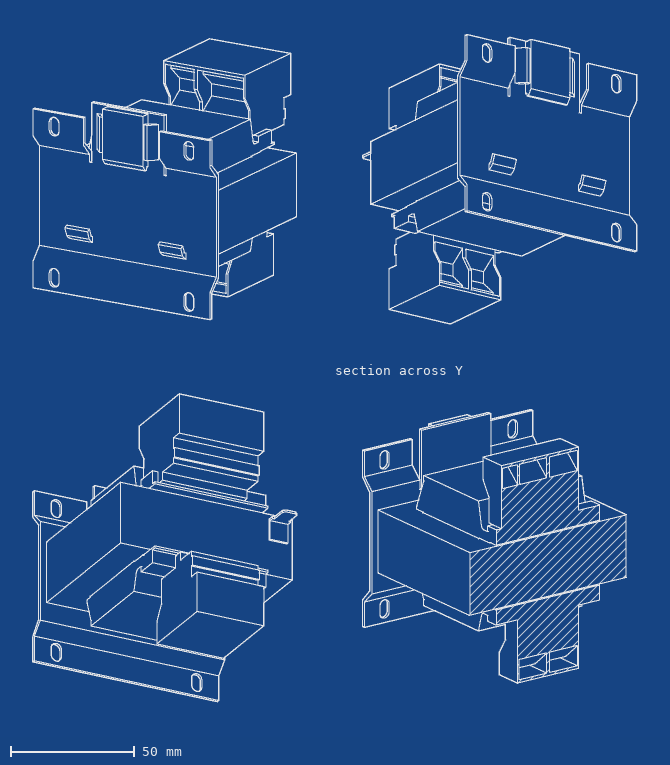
import cadquery as cq


core_half_width = 39.1
core_depth = 65.05
core_half_height = 13.5
window_front = 12.9
window_rear = 51.6
window_gap = 0.4

coil_half_width = 25.8
coil_top = 29.3
coil_bottom = 26.5
coil_front = 13.2
coil_rear = 51.1
coil_rim = 2.5
nose_height = 14.7
nose_front_top = 8.4
nose_front_bottom = 9.8
shelf_height = 20.4
shelf_front = 57.4
shelf_rear = 67.4
groove_height = 18.0
groove_floor_front = 55.35
groove_wall_front = 53.2
groove_wall_bottom = 19.1
lip_rear = 69.5
lip_bottom = 13.8
lip_top = 14.7
lip_front = 59.15

block_height = 47.55
block_front = 50.8
block_rear = 86.3
block_neck_front = 54.9
block_neck_top = 31.5
block_nose_bottom = 37.85
block_step_rear = 81.2
block_step_height = 30.05
block_bottom = 18.7
foot_rear = 71.5
foot_bottom = 15.1
block_left = -15.2
block_seam = 0.0
bottom_block_right = 15.2
top_block_right = 23.3
wall = 0.8
roof = 1.4
cavity_back = 63.8
cavity_low_back = 61.8
slope_top = 32.3
slope_bottom = 27.5
lever_root = (63.05, 38.0)
lever_tip = (55.6, 44.4)
lever_tip_underside = (55.0, 43.5)
lever_root_underside = 37.5
ledge_rear_height = 37.1
ledge_front_height = 35.2
stud_rear = 82.2
stud_low = 21.1
stud_high = 25.3
rib_left = 14.0
rib_width = 1.2

plate_width = 84.0
plate_thickness = 1.7
flange_thickness = 1.4
flange_front = 6.7
plate_half_height = 37.85
bend_rear_start = 22.0
bend_rear_end = 26.9
bend_front_start = 21.1
bend_front_end = 26.2
tongue_half_width = 17.2
tongue_top = 43.2
relief_width = 0.9
relief_bottom = 17.9
hole_x = 32.0
hole_z = 32.0
hole_width = 4.6
hole_length = 7.8

latch_half_width = 9.6
latch_front = 5.7
latch_top = 42.7
latch_bevel_top = 21.5
latch_bottom = 19.1
latch_step = 20.4
finger_bottom = 24.1
finger_top = 39.0
hook_inner = 16.7
hook_outer = 27.5

tab_x = -32.5
tab_width = 6.6
tab_base_width = 8.3
tab_thickness = 0.95
tab_top = 11.2
tab_bottom = 2.0
tab_tip = 76.5
tab_base_rear = 68.3
tab_chamfer = 1.1


def box(x0, x1, y0, y1, z0, z1):
    return cq.Workplane("XY").box(x1 - x0, y1 - y0, z1 - z0, centered=False).translate((x0, y0, z0))


def prism_along_x(points, x0, x1):
    """Extrude a closed (y, z) outline from x0 to x1."""
    return cq.Workplane("YZ").polyline(points).close().extrude(x1 - x0).translate((x0, 0, 0))


def flip_z(body):
    return body.mirror("XY")


def make_core():
    """Core block with a narrow slit on each side of the coil."""
    core = box(-core_half_width, core_half_width, 0, core_depth, -core_half_height, core_half_height)
    slit_outer = coil_half_width + window_gap
    slit = box(
        coil_half_width, slit_outer, window_front, window_rear, -core_half_height, core_half_height
    )
    return core.cut(slit).cut(slit.mirror("YZ"))


def make_coil(height, nose_front):
    """Half of the coil above the core, with the shelf that carries a terminal block."""
    return (
        cq.Workplane("YZ")
        .moveTo(nose_front, core_half_height)
        .lineTo(nose_front, nose_height)
        .lineTo(coil_front, height - coil_rim)
        .lineTo(coil_front, height)
        .lineTo(coil_rear, height)
        .lineTo(groove_wall_front, groove_wall_bottom)
        .threePointArc((53.8, 18.3), (groove_floor_front, groove_height))
        .lineTo(shelf_front, groove_height)
        .lineTo(shelf_front, shelf_height)
        .lineTo(shelf_rear, shelf_height)
        .lineTo(shelf_rear, lip_top)
        .lineTo(lip_rear, lip_top)
        .lineTo(lip_rear, lip_bottom)
        .lineTo(lip_front, lip_bottom)
        .lineTo(lip_front, core_half_height)
        .close()
        .extrude(2 * coil_half_width)
        .translate((-coil_half_width, 0, 0))
    )


def make_terminal_module(x0, x1):
    """Terminal housing open towards the front, with a sloping lever inside."""
    housing = prism_along_x(
        [
            (block_front, block_height),
            (block_rear, block_height),
            (block_rear, block_step_height),
            (block_step_rear, block_step_height),
            (block_step_rear, block_bottom),
            (foot_rear, block_bottom),
            (foot_rear, foot_bottom),
            (shelf_rear, foot_bottom),
            (shelf_rear, shelf_height),
            (block_neck_front, shelf_height),
            (block_neck_front, block_neck_top),
            (block_front, block_nose_bottom),
        ],
        x0,
        x1,
    )
    cavity = prism_along_x(
        [
            (block_front, block_height - roof),
            (cavity_back, block_height - roof),
            (cavity_back, ledge_rear_height),
            (cavity_low_back, ledge_front_height),
            (cavity_low_back, slope_top),
            (block_neck_front, slope_bottom),
            (block_front, slope_bottom),
        ],
        x0 + wall,
        x1 - wall,
    )
    lever = prism_along_x(
        [
            (cavity_back, ledge_rear_height),
            lever_root,
            lever_tip,
            lever_tip_underside,
            (cavity_low_back, lever_root_underside),
            (cavity_low_back, ledge_front_height),
        ],
        x0 + wall,
        x1 - wall,
    )
    stud = box(x0, x1, block_step_rear, stud_rear, stud_low, stud_high)
    return housing.cut(cavity).union(lever).union(stud)


def make_terminal_rib():
    """Partition between the levers and the roof of the wide upper module."""
    return prism_along_x(
        [
            (cavity_back, block_height - roof),
            (cavity_back, ledge_rear_height),
            lever_root,
            lever_tip,
            (lever_tip[0], block_height - roof),
        ],
        rib_left,
        rib_left + rib_width,
    )


def make_folded_plate():
    """Full width sheet, offset forward along its upper and lower edges."""
    flange_rear = flange_thickness - flange_front
    upper_half = (
        cq.Workplane("YZ")
        .moveTo(0, 0)
        .lineTo(0, bend_rear_start)
        .lineTo(flange_rear, bend_rear_end)
        .lineTo(flange_rear, plate_half_height)
        .lineTo(-flange_front, plate_half_height)
        .lineTo(-flange_front, bend_rear_end)
        .threePointArc((-6.6, 26.4), (-6.4, bend_front_end))
        .lineTo(-plate_thickness, bend_front_start)
        .lineTo(-plate_thickness, 0)
        .close()
        .extrude(plate_width)
        .translate((-plate_width / 2, 0, 0))
    )
    plate = upper_half.union(flip_z(upper_half))

    opening_half_width = tongue_half_width + relief_width
    opening = box(
        -opening_half_width, opening_half_width, -2 * flange_front, 0, relief_bottom, tongue_top
    )
    tongue = box(
        -tongue_half_width, tongue_half_width, -plate_thickness, 0, relief_bottom, tongue_top
    )
    holes = (
        cq.Workplane("XZ")
        .rect(2 * hole_x, 2 * hole_z, forConstruction=True)
        .vertices()
        .slot2D(hole_length, hole_width, 90)
        .extrude(flange_front)
    )
    return plate.cut(opening).union(tongue).cut(holes)


def make_latch():
    """Sliding block on the front of the tongue, bevelled along its lower edge."""
    return prism_along_x(
        [
            (-plate_thickness, latch_top),
            (-latch_front, latch_top),
            (-latch_front, latch_bevel_top),
            (-3.8, latch_bottom),
            (-2.95, latch_bottom),
            (-2.6, latch_step),
            (-plate_thickness, latch_step),
        ],
        -latch_half_width,
        latch_half_width,
    )


def make_finger():
    """Spring finger bent out of the tongue to touch the left side of the latch."""
    outline = [
        (-14.6, -plate_thickness),
        (-11.9, -4.7),
        (-11.2, -5.1),
        (-latch_half_width, -4.9),
        (-latch_half_width, -3.5),
        (-10.8, -3.3),
        (-12.6, -plate_thickness),
    ]
    finger = cq.Workplane("XY").polyline(outline).close().extrude(finger_top - finger_bottom)
    return finger.translate((0, 0, finger_bottom))


def make_hook():
    """Cranked lug that grips the lower edge of a mounting rail."""
    return prism_along_x(
        [
            (-plate_thickness, -13.3),
            (-2.7, -12.8),
            (-4.1, -9.6),
            (-5.6, -10.4),
            (-4.2, -13.9),
            (-3.4, -14.7),
            (-plate_thickness, -15.9),
        ],
        hook_inner,
        hook_outer,
    )


def make_earth_tab():
    """L-shaped blade contact on the rear of the core."""
    half_base = tab_base_width / 2
    half_tab = tab_width / 2
    leg = box(
        tab_x - half_base, tab_x + half_base, core_depth, core_depth + tab_thickness, tab_bottom, tab_top
    )
    base = box(
        tab_x - half_base, tab_x + half_base, core_depth, tab_base_rear, tab_top - tab_thickness, tab_top
    )
    blade = box(
        tab_x - half_tab, tab_x + half_tab, core_depth, tab_tip, tab_top - tab_thickness, tab_top
    )
    blade = blade.faces(">Y").edges("|Z").chamfer(tab_chamfer)
    return leg.union(base).union(blade)


left_module = make_terminal_module(block_left, block_seam)
top_right_module = make_terminal_module(block_seam, top_block_right)
bottom_right_module = make_terminal_module(block_seam, bottom_block_right)
finger = make_finger()
hook = make_hook()

bodies = [
    make_coil(coil_top, nose_front_top),
    flip_z(make_coil(coil_bottom, nose_front_bottom)),
    left_module,
    top_right_module,
    make_terminal_rib(),
    flip_z(left_module),
    flip_z(bottom_right_module),
    make_folded_plate(),
    make_latch(),
    finger,
    finger.mirror("YZ"),
    hook,
    hook.mirror("YZ"),
    make_earth_tab(),
]

result = make_core()
for body in bodies:
    result = result.union(body)